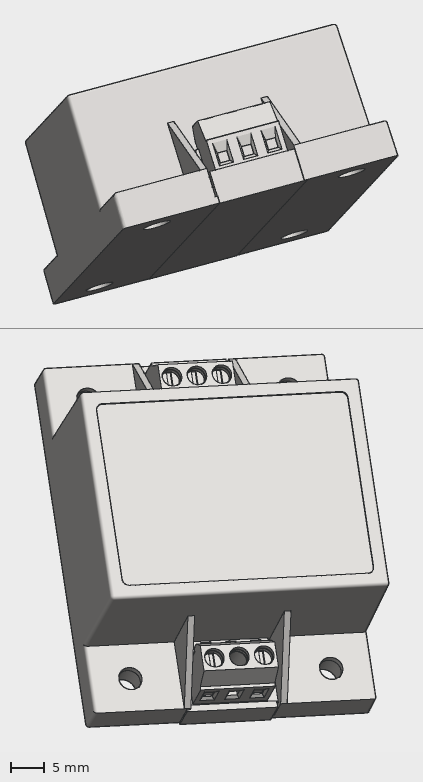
import cadquery as cq
import math

TILT = 56.8

LENGTH = 55.0
WIDTH = 43.2
HEIGHT = 23.05
FLANGE_HEIGHT = 5.45
BOX_LENGTH = 33.1
DRAFT = 1.0
TAPER = math.tan(math.radians(DRAFT))
EDGE_RADIUS = 0.5
TOLERANCE = 0.005

LABEL_LENGTH = 29.0
LABEL_WIDTH = 38.3
LABEL_RADIUS = 1.0
LABEL_DEPTH = 0.3

HOLE_Y = 15.3
HOLE_X = 22.3
HOLE_DIAMETER = 3.5
HOLE_RELIEF_DIAMETER = 4.1
HOLE_SKIN = 1.15

BAY_WIDTH = 13.7
RIB_THICKNESS = 1.0
RIB_TOP = 15.25

INNER_X = -0.3
INNER_Y = 0.45
TRAY_WIDTH = 13.85
TRAY_LEDGE = 1.05
TRAY_WALL = 1.0
TRAY_WALL_TOP = 4.95
BOARD_TOP = 4.3
BOARD_THICKNESS = 1.6

POLES = 3
PITCH = 3.8
BLOCK_WIDTH = 11.35
BLOCK_TOP = 13.15
BLOCK_TOP_BACK = 20.4
BLOCK_TOP_FRONT = 24.4
BLOCK_BACK = 19.3
BACK_SLOPE_BOTTOM = 11.15
FRONT_SLOPE_X = 25.6
STEP_TOP = 9.85
BLOCK_FRONT = 26.1

SCREW_X = (BLOCK_TOP_BACK + BLOCK_TOP_FRONT) / 2
SCREW_DIAMETER = 2.8
SCREW_DEPTH = 1.5
SCREW_RIM_DIAMETER = 2.95
SCREW_RIM_DEPTH = 0.75
SCREW_SLOT_WIDTH = 0.7
SCREW_SLOT_DEPTH = 0.5
CHAMBER_DEPTH = 6.1
ENTRY_WIDTH = 2.25
ENTRY_HEIGHT = 3.5
ENTRY_THROAT = 1.5
ENTRY_FUNNEL = 0.4
ENTRY_DEPTH = 0.6
ENTRY_DROP = 0.5
OPEN_ENTRY_DEPTH = 3.55
ENTRY_Z = 7.35

STRIP_BACK = 18.35
STRIP_FRONT = 20.0
STRIP_TOP = 9.75
STRIP_OVERHANG = 0.5
POCKET_LENGTH = 0.5
POCKET_WIDTH = 1.5
POCKET_DEPTH = 1.0


def slab(x0, x1, width, z0, z1, y=0.0):
    """Box between two x and two z planes, centred on y."""
    return cq.Workplane("XY").box(x1 - x0, width, z1 - z0).translate(((x0 + x1) / 2, y, (z0 + z1) / 2))


def wall_x(z):
    """Distance of the drafted end wall of the box from the centre at height z."""
    return BOX_LENGTH / 2 + (HEIGHT - z) * TAPER


def is_rounded(edge):
    """True for the top rim and for the side edges above the base."""
    centre = edge.Center()
    on_rim = centre.z > HEIGHT - TOLERANCE
    on_side = abs(centre.y) > WIDTH / 4 and centre.z > TOLERANCE
    return on_rim or on_side


def make_shell():
    """Stepped housing body with drafted walls and rounded edges."""
    end = LENGTH / 2
    wall_top = BOX_LENGTH / 2
    wall_foot = wall_x(FLANGE_HEIGHT)
    profile = [
        (-end, 0),
        (end, 0),
        (end, FLANGE_HEIGHT),
        (wall_foot, FLANGE_HEIGHT),
        (wall_top, HEIGHT),
        (-wall_top, HEIGHT),
        (-wall_foot, FLANGE_HEIGHT),
        (-end, FLANGE_HEIGHT),
    ]
    shell = cq.Workplane("XZ").polyline(profile).close().extrude(WIDTH / 2, both=True)
    drafted_sides = cq.Workplane("XY").rect(LENGTH, WIDTH).workplane(offset=HEIGHT)
    drafted_sides = drafted_sides.rect(LENGTH, WIDTH - 2 * HEIGHT * TAPER).loft(ruled=True)
    shell = shell.intersect(drafted_sides)
    rounded = [edge for edge in shell.edges().vals() if is_rounded(edge)]
    return shell.newObject(rounded).fillet(EDGE_RADIUS)


def make_ribs():
    """Four triangular ribs between the box walls and the flanges."""
    profile = [
        (BOX_LENGTH / 2, FLANGE_HEIGHT),
        (LENGTH / 2, FLANGE_HEIGHT),
        (BOX_LENGTH / 2, RIB_TOP),
    ]
    rib = cq.Workplane("XZ").polyline(profile).close().extrude(RIB_THICKNESS / 2, both=True)
    rib_y = (BAY_WIDTH + RIB_THICKNESS) / 2
    pair = rib.translate((0, rib_y, 0)).union(rib.translate((0, -rib_y, 0)))
    return pair.union(pair.mirror("YZ"))


def make_label_recess():
    half = LABEL_LENGTH / 2
    recess = slab(-half, half, LABEL_WIDTH, HEIGHT - LABEL_DEPTH, HEIGHT)
    return recess.edges("|Z").fillet(LABEL_RADIUS)


def make_mounting_holes():
    """Through holes in the four flange corners, wider below a thin skin."""
    spots = [(x, y) for x in (-HOLE_X, HOLE_X) for y in (-HOLE_Y, HOLE_Y)]
    corners = cq.Workplane("XY").pushPoints(spots)
    holes = corners.circle(HOLE_DIAMETER / 2).extrude(FLANGE_HEIGHT)
    relief = corners.circle(HOLE_RELIEF_DIAMETER / 2).extrude(FLANGE_HEIGHT - HOLE_SKIN)
    return holes.union(relief)


def make_channel():
    """Lengthwise channel for the tray and board, with a low ledge left beside the tray."""
    tray_edge = INNER_Y - TRAY_WIDTH / 2
    notch_width = BAY_WIDTH / 2 - tray_edge
    end = LENGTH / 2
    upper = slab(-end, end, BAY_WIDTH, TRAY_LEDGE, BOARD_TOP)
    return upper.union(slab(-end, end, notch_width, 0, BOARD_TOP, tray_edge + notch_width / 2))


def make_bays():
    """Openings between the ribs, through the flange down to the board."""
    profile = [
        (wall_x(BOARD_TOP), BOARD_TOP),
        (LENGTH / 2, BOARD_TOP),
        (LENGTH / 2, FLANGE_HEIGHT),
        (wall_x(FLANGE_HEIGHT), FLANGE_HEIGHT),
    ]
    bay = cq.Workplane("XZ").polyline(profile).close().extrude(BAY_WIDTH / 2, both=True)
    return bay.union(bay.mirror("YZ"))


def make_housing(tray, board):
    housing = make_shell().union(make_ribs())
    for cutter in (make_label_recess(), make_mounting_holes(), make_channel(), make_bays(), tray, board):
        housing = housing.cut(cutter)
    return housing


def make_tray():
    """Base tray: a slab with a low wall at each end."""
    end = LENGTH / 2
    inside = end - TRAY_WALL
    tray = slab(-end, end, TRAY_WIDTH, 0, TRAY_WALL_TOP)
    tray = tray.cut(slab(-inside, inside, TRAY_WIDTH, BOARD_TOP - BOARD_THICKNESS, TRAY_WALL_TOP))
    return tray.translate((INNER_X, INNER_Y, 0))


def make_board():
    """Circuit board that fills the channel between the tray walls."""
    half = LENGTH / 2 - TRAY_WALL
    return slab(INNER_X - half, INNER_X + half, BAY_WIDTH, BOARD_TOP - BOARD_THICKNESS, BOARD_TOP)


def pole_positions():
    """Y positions of the poles about the middle of the block."""
    return [(pole - (POLES - 1) / 2) * PITCH for pole in range(POLES)]


def drill(solid, y, diameter, depth):
    """Cut a blind hole into the top of a terminal block."""
    circle = cq.Workplane("XY", (SCREW_X, y, BLOCK_TOP)).circle(diameter / 2)
    return solid.cut(circle.extrude(-depth))


def make_back_strip():
    """Strip behind the block, with one pocket per pole in its top."""
    width = BLOCK_WIDTH + STRIP_OVERHANG
    strip = slab(STRIP_BACK, STRIP_FRONT, width, BOARD_TOP, STRIP_TOP, -STRIP_OVERHANG / 2)
    pocket_x = (STRIP_BACK + BLOCK_BACK) / 2
    pocket = slab(
        pocket_x - POCKET_LENGTH / 2,
        pocket_x + POCKET_LENGTH / 2,
        POCKET_WIDTH,
        STRIP_TOP - POCKET_DEPTH,
        STRIP_TOP,
    )
    for y in pole_positions():
        strip = strip.cut(pocket.translate((0, y, 0)))
    return strip


def make_terminal_block(open_poles):
    """Screw terminal block; the poles in open_poles have a bore instead of a screw."""
    profile = [
        (BLOCK_BACK, BOARD_TOP),
        (BLOCK_FRONT, BOARD_TOP),
        (BLOCK_FRONT, STEP_TOP),
        (FRONT_SLOPE_X, STEP_TOP),
        (BLOCK_TOP_FRONT, BLOCK_TOP),
        (BLOCK_TOP_BACK, BLOCK_TOP),
        (BLOCK_BACK, BACK_SLOPE_BOTTOM),
    ]
    block = cq.Workplane("XZ").polyline(profile).close().extrude(BLOCK_WIDTH / 2, both=True)
    block = block.union(make_back_strip())
    head = BLOCK_TOP - SCREW_DEPTH
    reach = SCREW_DIAMETER / 2
    slot = slab(SCREW_X - reach, SCREW_X + reach, SCREW_SLOT_WIDTH, head - SCREW_SLOT_DEPTH, head)
    chamber = cq.Workplane("XY", (SCREW_X, 0, head)).circle(SCREW_RIM_DIAMETER / 2).extrude(-CHAMBER_DEPTH)
    for pole, y in enumerate(pole_positions()):
        block = drill(block, y, SCREW_RIM_DIAMETER, SCREW_RIM_DEPTH)
        block = drill(block, y, SCREW_DIAMETER, SCREW_DEPTH)
        if pole in open_poles:
            block = block.cut(chamber.translate((0, y, 0))).cut(make_wire_entry(y, OPEN_ENTRY_DEPTH))
        else:
            block = block.cut(slot.translate((0, y, 0))).cut(make_wire_entry(y, ENTRY_DEPTH))
    return block


def make_wire_entry(y, depth):
    """Rectangular funnel in the front wall that narrows into a square throat."""
    mouth = cq.Workplane("YZ", (BLOCK_FRONT, y, ENTRY_Z)).rect(ENTRY_WIDTH, ENTRY_HEIGHT)
    funnel = mouth.workplane(offset=-ENTRY_FUNNEL).center(0, -ENTRY_DROP).rect(ENTRY_THROAT, ENTRY_THROAT)
    funnel = funnel.loft(ruled=True)
    return funnel.faces("<X").wires().toPending().workplane().extrude(depth - ENTRY_FUNNEL)


def place_block(turn, open_poles):
    """Terminal block turned about the vertical axis and set on the board."""
    block = make_terminal_block(open_poles).rotate((0, 0, 0), (0, 0, 1), turn)
    return block.translate((INNER_X, INNER_Y, 0))


BLOCK_PLACES = [(0, []), (180, [POLES // 2])]

tray = make_tray()
board = make_board()
housing = make_housing(tray, board)
terminal_blocks = [place_block(turn, open_poles) for turn, open_poles in BLOCK_PLACES]

bodies = [housing, tray, board, *terminal_blocks]
result = cq.Compound.makeCompound([body.rotate((0, 0, 0), (0, 1, 0), -TILT).val() for body in bodies])